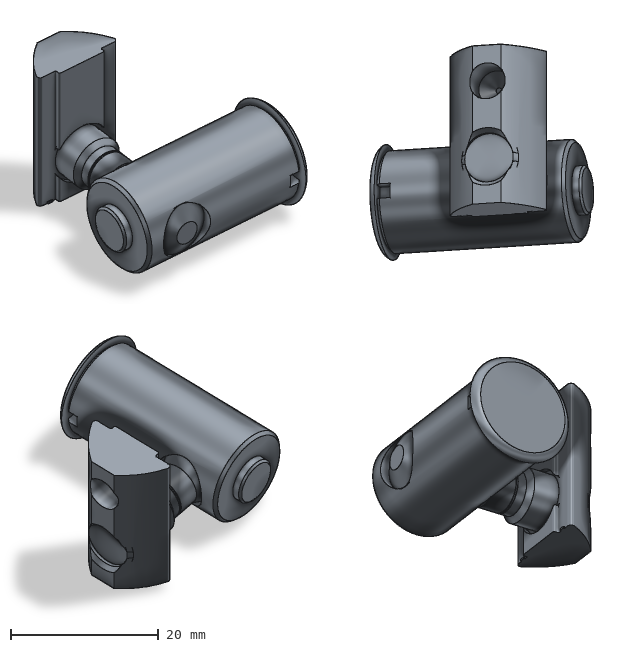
import cadquery as cq
import math


HOUSING_DIA = 14.0
HOUSING_FRONT = -6.55
HOUSING_BACK = 20.0
HOUSING_CHAMFER = 0.45
CROSS_HOLE_DIA = 8.2

COVER_DIA = 15.77
COVER_FLAT_DIA = 13.55
COVER_THICKNESS = 0.92
COVER_DOME_RISE = 0.15
SPIGOT_DIA = 10.0
SLOT_LENGTH = 1.97
SLOT_HEIGHT = 2.0

PIN_DIA = 6.7
PIN_PROJECTION = 1.32
PIN_SEAT_DEPTH = 1.32
PIN_CHAMFER = 0.3

NUT_FRONT = -22.9
NUT_BACK = -16.5
NUT_TOP = 15.52
NUT_BOTTOM = -6.53
NUT_SHARP_WIDTH = 14.08
NUT_FLAT_WIDTH = 4.0
NUT_CORNER_RADIUS = 0.52
FLANK_MID_X = -19.45
FLANK_MID_Y = 5.45
KEY_WIDTH = 7.9
KEY_HEIGHT = 0.8
KEY_ROOT_RADIUS = 0.15
KEY_EDGE_RADIUS = 0.25
KEY_RELIEF_DIA = 9.12
SCREW_HOLE_DIA = 5.0
SCREW_HOLE_Z = 10.53
SCREW_HOLE_DEPTH = 5.0
DRILL_POINT_ANGLE = 118.0
DRILL_POINT_FLAT_DIA = 0.8
PAD_INNER_Y = 4.55
PAD_WIDTH = 0.85
PAD_HEIGHT = 0.28
PAD_PROJECTION = 0.2

COLLAR_DIA = 8.0
STUD_HEAD_DIA = 6.8
STUD_HEAD_X = -21.85
COLLAR_END_X = -12.63
STUD_DIA = 6.4
STUD_TIP_DIA = 3.5
STUD_TIP_CONE_LENGTH = 1.4
STUD_REAR_CONE_ANGLE = 25.0
GROOVE_X = -10.35
GROOVE_WIDTH = 0.28
GROOVE_DEPTH = 0.1

HOUSING_RADIUS = HOUSING_DIA / 2


def cylinder_along_x(diameter, start_x, end_x):
    return cq.Workplane("YZ", origin=(start_x, 0, 0)).circle(diameter / 2).extrude(end_x - start_x)


def cylinder_along_y(diameter, start_y, end_y):
    return cq.Workplane("XZ", origin=(0, start_y, 0)).circle(diameter / 2).extrude(start_y - end_y)


def make_housing():
    barrel = cylinder_along_y(HOUSING_DIA, HOUSING_FRONT, HOUSING_BACK)
    barrel = barrel.faces("<Y or >Y").chamfer(HOUSING_CHAMFER)

    cross_hole = cylinder_along_x(CROSS_HOLE_DIA, -HOUSING_DIA, HOUSING_DIA)
    pin_seat = cylinder_along_y(PIN_DIA, HOUSING_FRONT, HOUSING_FRONT + PIN_SEAT_DEPTH)
    spigot_bore = cylinder_along_y(SPIGOT_DIA, HOUSING_BACK - SLOT_LENGTH, HOUSING_BACK)
    side_slots = (
        cq.Workplane("XY")
        .box(2 * HOUSING_DIA, SLOT_LENGTH, SLOT_HEIGHT)
        .translate((0, HOUSING_BACK - SLOT_LENGTH / 2, 0))
    )
    return barrel.cut(cross_hole).cut(pin_seat).cut(spigot_bore).cut(side_slots)


def make_cover():
    outer_radius = COVER_DIA / 2
    flat_radius = COVER_FLAT_DIA / 2
    spigot_radius = SPIGOT_DIA / 2
    back_y = HOUSING_BACK + COVER_THICKNESS
    spigot_end_y = HOUSING_BACK - SLOT_LENGTH
    rim_mid = (
        (outer_radius + flat_radius) / 2 + COVER_DOME_RISE / math.sqrt(2),
        (HOUSING_BACK + back_y) / 2 + COVER_DOME_RISE / math.sqrt(2),
    )
    half_section = (
        cq.Workplane("XY")
        .moveTo(0, spigot_end_y)
        .lineTo(spigot_radius, spigot_end_y)
        .lineTo(spigot_radius, HOUSING_BACK)
        .lineTo(outer_radius, HOUSING_BACK)
        .threePointArc(rim_mid, (flat_radius, back_y))
        .lineTo(0, back_y)
        .close()
    )
    return half_section.revolve(360, (0, 0, 0), (0, 1, 0))


def make_front_pin():
    pin = cylinder_along_y(PIN_DIA, HOUSING_FRONT - PIN_PROJECTION, HOUSING_FRONT + PIN_SEAT_DEPTH)
    return pin.faces("<Y").chamfer(PIN_CHAMFER)


def make_nut_bar():
    half_width = NUT_SHARP_WIDTH / 2
    half_flat = NUT_FLAT_WIDTH / 2
    height = NUT_TOP - NUT_BOTTOM
    bar = (
        cq.Workplane("XY", origin=(0, 0, NUT_BOTTOM))
        .moveTo(NUT_FRONT, -half_flat)
        .threePointArc((FLANK_MID_X, -FLANK_MID_Y), (NUT_BACK, -half_width))
        .lineTo(NUT_BACK, half_width)
        .threePointArc((FLANK_MID_X, FLANK_MID_Y), (NUT_FRONT, half_flat))
        .close()
        .extrude(height)
        .edges("|Z and >X")
        .fillet(NUT_CORNER_RADIUS)
    )
    key_length = 2 * KEY_HEIGHT
    key = (
        cq.Workplane("XY")
        .box(key_length, KEY_WIDTH, height)
        .translate((NUT_BACK, 0, (NUT_TOP + NUT_BOTTOM) / 2))
        .edges("|Z and >X")
        .fillet(KEY_EDGE_RADIUS)
    )
    root_edges = cq.selectors.BoxSelector(
        (NUT_BACK - KEY_ROOT_RADIUS, -KEY_WIDTH / 2 - KEY_ROOT_RADIUS, NUT_BOTTOM),
        (NUT_BACK + KEY_ROOT_RADIUS, KEY_WIDTH / 2 + KEY_ROOT_RADIUS, NUT_TOP),
    )
    return bar.union(key).edges(root_edges).edges("|Z").fillet(KEY_ROOT_RADIUS)


def make_screw_hole():
    hole_radius = SCREW_HOLE_DIA / 2
    point_flat_radius = DRILL_POINT_FLAT_DIA / 2
    cylinder_end_x = NUT_FRONT + SCREW_HOLE_DEPTH
    point_length = (hole_radius - point_flat_radius) / math.tan(math.radians(DRILL_POINT_ANGLE / 2))
    half_section = cq.Workplane("XY").polyline([
        (NUT_FRONT, 0),
        (NUT_FRONT, hole_radius),
        (cylinder_end_x, hole_radius),
        (cylinder_end_x + point_length, point_flat_radius),
        (cylinder_end_x + point_length, 0),
    ]).close()
    return half_section.revolve(360, (0, 0, 0), (1, 0, 0)).translate((0, 0, SCREW_HOLE_Z))


def make_stud_hole():
    mouth_radius = COLLAR_DIA / 2
    throat_radius = STUD_HEAD_DIA / 2
    flare = mouth_radius - throat_radius
    half_section = cq.Workplane("XY").polyline([
        (NUT_FRONT, 0),
        (NUT_FRONT, mouth_radius),
        (NUT_FRONT + flare, throat_radius),
        (STUD_HEAD_X, throat_radius),
        (STUD_HEAD_X + flare, mouth_radius),
        (NUT_BACK, mouth_radius),
        (NUT_BACK, 0),
    ]).close()
    return half_section.revolve(360, (0, 0, 0), (1, 0, 0))


def make_slot_nut():
    nut = make_nut_bar()
    key_relief = cylinder_along_x(KEY_RELIEF_DIA, NUT_BACK, NUT_BACK + KEY_HEIGHT)
    nut = nut.cut(make_stud_hole()).cut(key_relief).cut(make_screw_hole())

    for side in (-1, 1):
        pad = (
            cq.Workplane("XY")
            .box(2 * PAD_PROJECTION, PAD_WIDTH, PAD_HEIGHT)
            .translate((NUT_BACK, side * (PAD_INNER_Y + PAD_WIDTH / 2), NUT_BOTTOM + PAD_HEIGHT / 2))
        )
        nut = nut.union(pad)
    return nut


def make_clamp_stud():
    collar_radius = COLLAR_DIA / 2
    head_radius = STUD_HEAD_DIA / 2
    stud_radius = STUD_DIA / 2
    head_chamfer = collar_radius - head_radius
    collar_chamfer = collar_radius - stud_radius
    shank_radius = CROSS_HOLE_DIA / 2
    rear_cone_length = (shank_radius - stud_radius) / math.tan(math.radians(STUD_REAR_CONE_ANGLE))
    groove_start = GROOVE_X - GROOVE_WIDTH / 2
    groove_end = GROOVE_X + GROOVE_WIDTH / 2
    groove_radius = stud_radius - GROOVE_DEPTH
    half_section = cq.Workplane("XY").polyline([
        (STUD_HEAD_X, 0),
        (STUD_HEAD_X, head_radius),
        (STUD_HEAD_X + head_chamfer, collar_radius),
        (COLLAR_END_X, collar_radius),
        (COLLAR_END_X + collar_chamfer, stud_radius),
        (groove_start, stud_radius),
        (groove_start, groove_radius),
        (groove_end, groove_radius),
        (groove_end, stud_radius),
        (-HOUSING_RADIUS, stud_radius),
        (-HOUSING_RADIUS + rear_cone_length, shank_radius),
        (HOUSING_RADIUS - STUD_TIP_CONE_LENGTH, shank_radius),
        (HOUSING_RADIUS, STUD_TIP_DIA / 2),
        (HOUSING_RADIUS, 0),
    ]).close()
    return half_section.revolve(360, (0, 0, 0), (1, 0, 0))


housing = make_housing()
cover = make_cover()
front_pin = make_front_pin()
slot_nut = make_slot_nut()
clamp_stud = make_clamp_stud()

result = cq.Compound.makeCompound([
    housing.val(),
    cover.val(),
    front_pin.val(),
    slot_nut.val(),
    clamp_stud.val(),
])